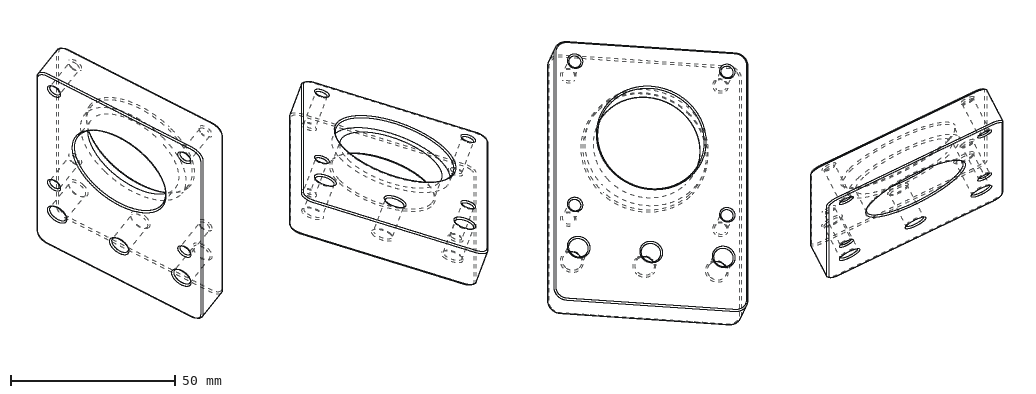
import cadquery as cq

width = 60.0
thickness = 12.0
height = 85.0
corner_radius = 4.0
edge_chamfer = 0.5

bore_diameter = 33.0
bore_height = 12.5
recess_diameter = 38.2
recess_depth = 4.0

motor_hole_diameter = 3.7
motor_hole_spacing = 47.1

mount_hole_diameter = 6.0
mount_hole_spacing = 22.4
mount_row_height = -25.0

front = -thickness / 2
back = thickness / 2


def disc(x, z, diameter, y_start, length):
    """Cylinder running along +Y from y_start."""
    start = cq.Vector(x, y_start, z)
    return cq.Workplane(cq.Solid.makeCylinder(diameter / 2, length, start, cq.Vector(0, 1, 0)))


def flare(x, z, diameter, face_y, inward):
    """Conical cutter that chamfers a hole mouth at face_y."""
    mouth_radius = diameter / 2 + edge_chamfer
    start = cq.Vector(x, face_y, z)
    axis = cq.Vector(0, inward, 0)
    return cq.Workplane(cq.Solid.makeCone(mouth_radius, diameter / 2, edge_chamfer, start, axis))


def through_hole(x, z, diameter):
    """Through-hole cutter chamfered at both faces."""
    hole = disc(x, z, diameter, front, thickness)
    return hole.union(flare(x, z, diameter, front, 1)).union(flare(x, z, diameter, back, -1))


result = (
    cq.Workplane("XY")
    .box(width, thickness, height)
    .edges("|Y")
    .fillet(corner_radius)
    .faces("<Y or >Y")
    .chamfer(edge_chamfer)
)

result = result.cut(through_hole(0, bore_height, bore_diameter))
result = result.cut(disc(0, bore_height, recess_diameter, back - recess_depth, recess_depth))
result = result.cut(flare(0, bore_height, recess_diameter, back, -1))

for x_side in (-1, 1):
    for z_side in (-1, 1):
        x = x_side * motor_hole_spacing / 2
        z = bore_height + z_side * motor_hole_spacing / 2
        result = result.cut(through_hole(x, z, motor_hole_diameter))

for column in (-1, 0, 1):
    x = column * mount_hole_spacing
    result = result.cut(through_hole(x, mount_row_height, mount_hole_diameter))